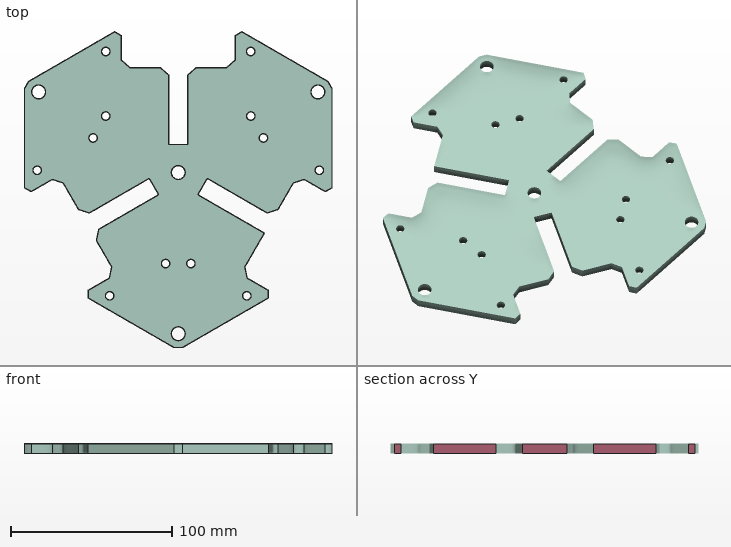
import cadquery as cq
import math

overall_width = 190.5
overall_length = 195.8
thickness = 6.3
arm_count = 3
arm_step = 360 / arm_count

slot_width = 11.5
slot_floor = 17.5
shoulder_height = 65.0
bevel_width = 5.3
bevel_height = 4.7
ear_inner_x = 35.2
ear_inner_top = 84.8
ear_tip_x = 39.4

large_hole_diameter = 8.5
small_hole_diameter = 5.0
tip_hole_distance = 99.9
inner_hole_spacing = 15.7
inner_hole_y = -56.4
ear_hole_spacing = 85.0
ear_hole_y = -76.4

apothem = overall_width / 2
slot_half_width = slot_width / 2
hexagon_corner_angle = math.radians(30)
hexagon_radius = apothem / math.cos(hexagon_corner_angle)
ear_tip_y = hexagon_radius - ear_tip_x * math.tan(hexagon_corner_angle)
arm_tip_distance = overall_length - ear_tip_y


def rotated(shape, index):
    """Turn a shape about the plate centre to the given arm position."""
    return shape.rotate((0, 0, 0), (0, 0, 1), index * arm_step)


def gap_cutter(bevel_right_corner):
    """Slot widening to a shoulder, then to the space between two ears."""
    left_side = [
        (-slot_half_width, slot_floor),
        (-slot_half_width, shoulder_height - bevel_height),
        (-slot_half_width - bevel_width, shoulder_height),
        (-ear_inner_x + bevel_width, shoulder_height),
        (-ear_inner_x, shoulder_height + bevel_height),
        (-ear_inner_x, ear_inner_top),
        (-ear_tip_x, ear_tip_y),
    ]
    right_side = [(-x, y) for x, y in left_side]
    if not bevel_right_corner:
        right_side[1:3] = [(slot_half_width, shoulder_height)]
    outline = left_side + [(0, hexagon_radius)] + right_side[::-1]
    return cq.Workplane("XY").polyline(outline).close().extrude(thickness)


def arm_tip_cutter():
    """Block that blunts the hexagon corner at the end of the -Y arm."""
    return (
        cq.Workplane("XY")
        .center(0, -hexagon_radius)
        .rect(hexagon_radius, 2 * (hexagon_radius - arm_tip_distance))
        .extrude(thickness)
    )


def hole_cutter(points, diameter):
    return cq.Workplane("XY").pushPoints(points).circle(diameter / 2).extrude(thickness)


def arm_hole_cutters():
    """Holes of the -Y arm: one large at the tip and two small pairs."""
    small_points = [
        (side * spacing / 2, y)
        for spacing, y in [(inner_hole_spacing, inner_hole_y), (ear_hole_spacing, ear_hole_y)]
        for side in (-1, 1)
    ]
    tip_hole = hole_cutter([(0, -tip_hole_distance)], large_hole_diameter)
    return [tip_hole, hole_cutter(small_points, small_hole_diameter)]


result = (
    cq.Workplane("XY")
    .polygon(6, 2 * hexagon_radius)
    .extrude(thickness)
    .rotate((0, 0, 0), (0, 0, 1), 30)
)
result = result.cut(hole_cutter([(0, 0)], large_hole_diameter))

for arm in range(arm_count):
    is_last_gap = arm == arm_count - 1
    result = result.cut(rotated(gap_cutter(not is_last_gap), arm))
    result = result.cut(rotated(arm_tip_cutter(), arm))
    for cutter in arm_hole_cutters():
        result = result.cut(rotated(cutter, arm))